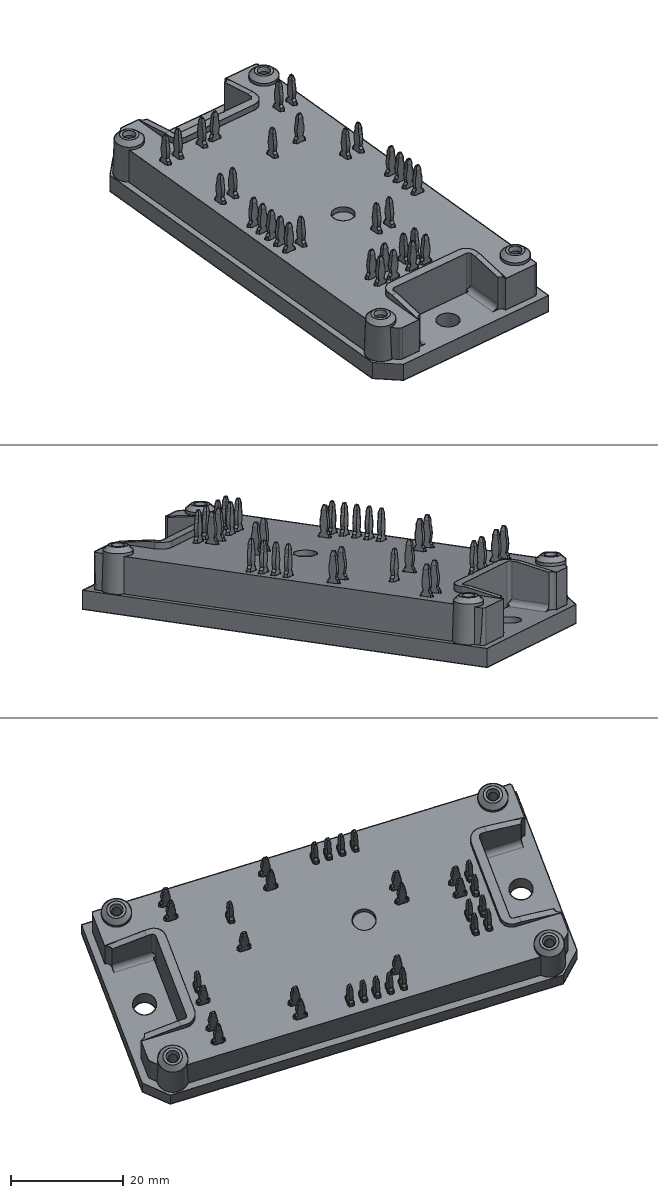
import cadquery as cq
LENGTH = 82.0
WIDTH = 37.4
PLATE_HEIGHT = 3.5
PLATE_CHAMFER = 3.9
MOUNT_HOLE_DIAMETER = 4.3
MOUNT_HOLE_X = 35.5

HOUSING_LENGTH = 79.2
HOUSING_FOOT_WIDTH = 34.85
HOUSING_TOP_WIDTH = 34.4
HOUSING_TOP = 10.4
HOUSING_CHAMFER = 3.3
HOUSING_CORNER_RADIUS = 0.8
CENTRE_RECESS_DIAMETER = 4.3
CENTRE_RECESS_X = 5.9
CENTRE_RECESS_DEPTH = 1.1

NOTCH_WALL_X = 30.5
NOTCH_WIDTH = 17.9
NOTCH_INNER_RADIUS = 0.65
NOTCH_MOUTH_RADIUS = 1.0
FLOOR_FILLET = 1.15
SLOT_WIDTH = 0.5
RIM_TOP = 11.65
RIM_WIDTH = 20.2
RIM_BACK = 1.7
RIM_CORNER_RADIUS = 2.3
RAMP_START_X = 32.1

BOSS_X = 35.5
BOSS_Y = 15.5
BOSS_FOOT_RADIUS = 2.95
BOSS_RADIUS = 2.7
BOSS_SHOULDER = 11.0
BOSS_TOP = 11.9
BOSS_TOP_RADIUS = 1.7
SCREW_MOUTH_DIAMETER = 2.4
SCREW_CORE_DIAMETER = 1.7
SCREW_MOUTH_DEPTH = 0.8
SCREW_DEPTH = 4.1

TOTAL_HEIGHT = 16.2
PIN_THICKNESS = 0.7
PIN_TIP_THICKNESS = 0.3
PIN_POCKET_LENGTH = 2.6
PIN_POCKET_WIDTH = 1.2
PIN_POCKET_DEPTH = 0.65
PIN_BASE_HALF = 0.94
PIN_NECK_HALF = 0.53
PIN_BULGE_HALF = 0.78
PIN_SHOULDER_HALF = 0.65
PIN_TIP_HALF = 0.29
PIN_BASE_HEIGHT = 0.5
PIN_NECK_HEIGHT = 1.0
PIN_BULGE_HEIGHT = 2.3
PIN_SHOULDER_HEIGHT = 3.7
PIN_STEM_HEIGHT = 4.2
PIN_TAPER_HEIGHT = 4.9

PINS_ALONG_X = [
    (-26.6, 14.6), (-26.6, 11.65), (-7.7, 14.6), (-7.7, 11.65),
    (-16.15, 1.7),
    (-26.6, -6.1), (-26.6, -11.6), (-26.6, -14.4),
    (-11.1, -11.6), (-11.1, -14.4), (8.2, -11.6),
    (13.5, 4.4), (13.5, 1.5),
    (23.8, 1.9), (23.8, -0.65),
]
PINS_ALONG_Y = [
    (-16.6, 8.2), (-26.6, -3.1),
    (26.5, 2.1), (26.5, -0.9),
    (23.95, -5.25), (23.95, -8.2), (26.5, -5.25), (26.5, -8.2),
]
PIN_ROW_PITCH = 2.5
BACK_ROW = (1.55, 14.5, 4)
FRONT_ROW = (-1.7, -14.4, 5)

HOUSING_END_X = HOUSING_LENGTH / 2
CORNERS = [(sx * BOSS_X, sy * BOSS_Y) for sx in (-1, 1) for sy in (-1, 1)]


def centred_block(length, width, bottom, top):
    return cq.Workplane("XY").workplane(offset=bottom).rect(length, width).extrude(top - bottom)


def both_ends(left_end):
    """A feature of the -X end together with its mirror image at the +X end."""
    return left_end.union(left_end.mirror("YZ"))


def base_plate():
    plate = centred_block(LENGTH, WIDTH, 0, PLATE_HEIGHT)
    return plate.edges("|Z and <Y").chamfer(PLATE_CHAMFER)


def housing():
    """Block with drafted long sides, chamfered at the -Y corners like the plate."""
    outline = centred_block(HOUSING_LENGTH, HOUSING_FOOT_WIDTH, PLATE_HEIGHT, HOUSING_TOP)
    outline = outline.edges("|Z and <Y").chamfer(HOUSING_CHAMFER)
    outline = outline.edges("|Z").fillet(HOUSING_CORNER_RADIUS)
    drafted = (
        cq.Workplane("YZ", origin=(-HOUSING_END_X, 0, 0))
        .moveTo(-HOUSING_FOOT_WIDTH / 2, PLATE_HEIGHT)
        .lineTo(HOUSING_FOOT_WIDTH / 2, PLATE_HEIGHT)
        .lineTo(HOUSING_TOP_WIDTH / 2, HOUSING_TOP)
        .lineTo(-HOUSING_TOP_WIDTH / 2, HOUSING_TOP)
        .close()
        .extrude(HOUSING_LENGTH)
    )
    return outline.intersect(drafted)


def notch_rim():
    """Raised rim around the -X notch; its arms ramp down to the housing top."""
    back_x = -NOTCH_WALL_X + RIM_BACK
    rim = (
        centred_block(HOUSING_END_X + back_x, RIM_WIDTH, HOUSING_TOP, RIM_TOP)
        .translate(((back_x - HOUSING_END_X) / 2, 0, 0))
        .edges("|Z and >X")
        .fillet(RIM_CORNER_RADIUS)
    )
    ramped = (
        cq.Workplane("XZ", origin=(0, RIM_WIDTH / 2, 0))
        .moveTo(-HOUSING_END_X, HOUSING_TOP)
        .lineTo(-RAMP_START_X, RIM_TOP)
        .lineTo(back_x, RIM_TOP)
        .lineTo(back_x, HOUSING_TOP)
        .close()
        .extrude(RIM_WIDTH)
    )
    return rim.intersect(ramped)


def notch_space():
    """Space of the -X notch, with rounded inner corners and a mouth flaring in quarter arcs."""
    half = NOTCH_WIDTH / 2
    mouth_half = half + NOTCH_MOUTH_RADIUS
    mouth_x = -HOUSING_END_X + NOTCH_MOUTH_RADIUS
    outside_x = -LENGTH / 2
    r = NOTCH_INNER_RADIUS
    return (
        cq.Workplane("XY", origin=(0, 0, PLATE_HEIGHT))
        .moveTo(outside_x, -mouth_half)
        .lineTo(-HOUSING_END_X, -mouth_half)
        .radiusArc((mouth_x, -half), -NOTCH_MOUTH_RADIUS)
        .lineTo(-NOTCH_WALL_X - r, -half)
        .radiusArc((-NOTCH_WALL_X, -half + r), -r)
        .lineTo(-NOTCH_WALL_X, half - r)
        .radiusArc((-NOTCH_WALL_X - r, half), -r)
        .lineTo(mouth_x, half)
        .radiusArc((-HOUSING_END_X, mouth_half), -NOTCH_MOUTH_RADIUS)
        .lineTo(outside_x, mouth_half)
        .close()
        .extrude(RIM_TOP - PLATE_HEIGHT)
    )


def floor_fillets():
    """Concave strips between the arms of the -X notch and the plate."""
    half = NOTCH_WIDTH / 2
    start_x = -HOUSING_END_X + NOTCH_MOUTH_RADIUS
    strip = (
        cq.Workplane("YZ", origin=(start_x, 0, 0))
        .moveTo(half, PLATE_HEIGHT)
        .lineTo(half, PLATE_HEIGHT + FLOOR_FILLET)
        .radiusArc((half - FLOOR_FILLET, PLATE_HEIGHT), FLOOR_FILLET)
        .close()
        .extrude(-NOTCH_WALL_X - start_x)
    )
    return strip.union(strip.mirror("XZ"))


def notch_slot():
    """Narrow gap through the plate along the back wall of the -X notch."""
    slot = centred_block(SLOT_WIDTH, NOTCH_WIDTH - 2 * NOTCH_INNER_RADIUS, 0, HOUSING_TOP)
    return slot.translate((-NOTCH_WALL_X - SLOT_WIDTH / 2, 0, 0))


def boss():
    return (
        cq.Workplane("XZ")
        .moveTo(0, PLATE_HEIGHT)
        .lineTo(BOSS_FOOT_RADIUS, PLATE_HEIGHT)
        .lineTo(BOSS_RADIUS, BOSS_SHOULDER)
        .lineTo(BOSS_TOP_RADIUS, BOSS_TOP)
        .lineTo(0, BOSS_TOP)
        .close()
        .revolve(360, (0, 0), (0, 1))
    )


def screw_hole():
    """Blind hole with a tapered mouth."""
    core_radius = SCREW_CORE_DIAMETER / 2
    return (
        cq.Workplane("XZ")
        .moveTo(0, BOSS_TOP)
        .lineTo(SCREW_MOUTH_DIAMETER / 2, BOSS_TOP)
        .lineTo(core_radius, BOSS_TOP - SCREW_MOUTH_DEPTH)
        .lineTo(core_radius, BOSS_TOP - SCREW_DEPTH)
        .lineTo(0, BOSS_TOP - SCREW_DEPTH)
        .close()
        .revolve(360, (0, 0), (0, 1))
    )


def pin():
    """Flat pin standing in its pocket, broad side along X: flared base, bulged stem, tapered tip."""
    height = TOTAL_HEIGHT - HOUSING_TOP
    blade = (
        cq.Workplane("XZ", origin=(0, PIN_THICKNESS / 2, HOUSING_TOP))
        .moveTo(-PIN_BASE_HALF, -PIN_POCKET_DEPTH)
        .lineTo(PIN_BASE_HALF, -PIN_POCKET_DEPTH)
        .lineTo(PIN_BASE_HALF, PIN_BASE_HEIGHT)
        .lineTo(PIN_NECK_HALF, PIN_NECK_HEIGHT)
        .threePointArc((PIN_BULGE_HALF, PIN_BULGE_HEIGHT), (PIN_SHOULDER_HALF, PIN_SHOULDER_HEIGHT))
        .lineTo(PIN_NECK_HALF, PIN_STEM_HEIGHT)
        .lineTo(PIN_NECK_HALF, PIN_TAPER_HEIGHT)
        .lineTo(PIN_TIP_HALF, height)
        .lineTo(-PIN_TIP_HALF, height)
        .lineTo(-PIN_NECK_HALF, PIN_TAPER_HEIGHT)
        .lineTo(-PIN_NECK_HALF, PIN_STEM_HEIGHT)
        .lineTo(-PIN_SHOULDER_HALF, PIN_SHOULDER_HEIGHT)
        .threePointArc((-PIN_BULGE_HALF, PIN_BULGE_HEIGHT), (-PIN_NECK_HALF, PIN_NECK_HEIGHT))
        .lineTo(-PIN_BASE_HALF, PIN_BASE_HEIGHT)
        .close()
        .extrude(PIN_THICKNESS)
    )
    edge_profile = (
        cq.Workplane("YZ", origin=(-PIN_BASE_HALF, 0, HOUSING_TOP))
        .moveTo(-PIN_THICKNESS / 2, -PIN_POCKET_DEPTH)
        .lineTo(PIN_THICKNESS / 2, -PIN_POCKET_DEPTH)
        .lineTo(PIN_THICKNESS / 2, PIN_TAPER_HEIGHT)
        .lineTo(PIN_TIP_THICKNESS / 2, height)
        .lineTo(-PIN_TIP_THICKNESS / 2, height)
        .lineTo(-PIN_THICKNESS / 2, PIN_TAPER_HEIGHT)
        .close()
        .extrude(2 * PIN_BASE_HALF)
    )
    return blade.intersect(edge_profile)


def pin_pocket():
    """Shallow clearance pocket with round ends, longer along X."""
    return (
        cq.Workplane("XY", origin=(0, 0, HOUSING_TOP))
        .slot2D(PIN_POCKET_LENGTH, PIN_POCKET_WIDTH)
        .extrude(-PIN_POCKET_DEPTH)
    )


def pin_row(first_x, y, count):
    return [(first_x + i * PIN_ROW_PITCH, y) for i in range(count)]


def copies(shape, places):
    solid = shape.val()
    return [solid.translate(cq.Vector(x, y, 0)) for x, y in places]


def at_pin_places(shape_along_x):
    """Copies of a shape at every pin place, turned to the direction of that pin."""
    shape_along_y = shape_along_x.rotate((0, 0, 0), (0, 0, 1), 90)
    places_along_y = PINS_ALONG_Y + pin_row(*BACK_ROW) + pin_row(*FRONT_ROW)
    return copies(shape_along_x, PINS_ALONG_X) + copies(shape_along_y, places_along_y)


body = base_plate().union(housing()).union(both_ends(notch_rim()))
body = body.cut(both_ends(notch_space())).union(both_ends(floor_fillets()))
body = body.cut(both_ends(notch_slot()))

for boss_solid in copies(boss(), CORNERS):
    body = body.union(cq.Workplane(boss_solid))
for hole_solid in copies(screw_hole(), CORNERS):
    body = body.cut(cq.Workplane(hole_solid))

mount_hole = cq.Workplane("XY").circle(MOUNT_HOLE_DIAMETER / 2).extrude(PLATE_HEIGHT)
body = body.cut(both_ends(mount_hole.translate((-MOUNT_HOLE_X, 0, 0))))

centre_recess = (
    cq.Workplane("XY", origin=(CENTRE_RECESS_X, 0, HOUSING_TOP))
    .circle(CENTRE_RECESS_DIAMETER / 2)
    .extrude(-CENTRE_RECESS_DEPTH)
)
body = body.cut(centre_recess)

pocketed = body.val().cut(*at_pin_places(pin_pocket()))
result = cq.Workplane(pocketed.fuse(*at_pin_places(pin())))